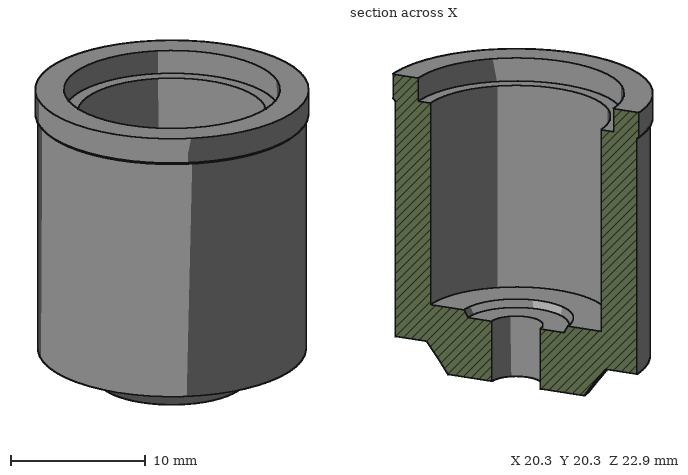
import cadquery as cq
import math

height = 22.9
flange_radius = 10.15
flange_height = 2.1
flange_bevel = 0.18
body_radius = flange_radius - flange_bevel
nose_height = 2.34
nose_top_radius = 7.37
nose_tip_radius = 5.6

counterbore_radius = 8.02
counterbore_depth = 1.8
bore_radius = 7.0
recess_top_radius = 4.25
recess_bottom_radius = 3.95
recess_half_angle = 30.0
hole_radius = 2.0

flange_bottom = height - flange_height
counterbore_floor = height - counterbore_depth
wall_thickness = body_radius - bore_radius
bore_floor = nose_height + wall_thickness
recess_depth = (recess_top_radius - recess_bottom_radius) / math.tan(math.radians(recess_half_angle))
recess_floor = bore_floor - recess_depth


def make_outside():
    """Solid flanged body with a tapered nose, turned about the Z axis."""
    half_section = (
        cq.Workplane("XZ")
        .lineTo(nose_tip_radius, 0)
        .lineTo(nose_top_radius, nose_height)
        .lineTo(body_radius, nose_height)
        .lineTo(body_radius, flange_bottom)
        .lineTo(flange_radius, flange_bottom + flange_bevel)
        .lineTo(flange_radius, height)
        .lineTo(0, height)
        .close()
    )
    return half_section.revolve(360, (0, 0, 0), (0, 1, 0))


def make_cavity():
    """Stepped cavity: counterbore, bore, shallow conical recess and through hole."""
    half_section = (
        cq.Workplane("XZ")
        .lineTo(hole_radius, 0)
        .lineTo(hole_radius, recess_floor)
        .lineTo(recess_bottom_radius, recess_floor)
        .lineTo(recess_top_radius, bore_floor)
        .lineTo(bore_radius, bore_floor)
        .lineTo(bore_radius, counterbore_floor)
        .lineTo(counterbore_radius, counterbore_floor)
        .lineTo(counterbore_radius, height)
        .lineTo(0, height)
        .close()
    )
    return half_section.revolve(360, (0, 0, 0), (0, 1, 0))


result = make_outside().cut(make_cavity())